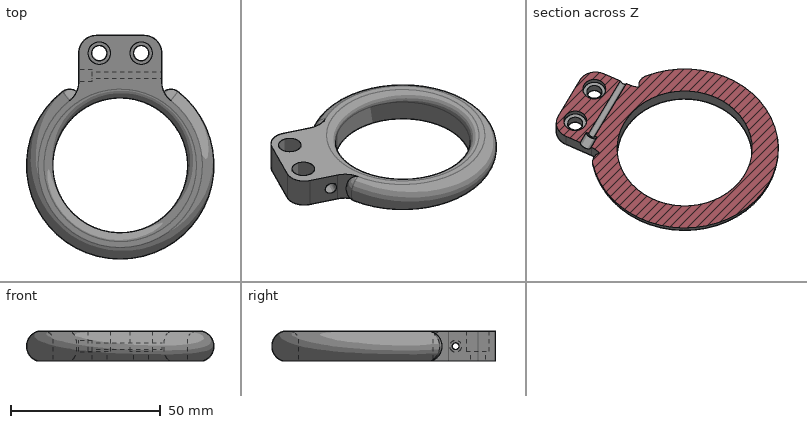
import cadquery as cq
import math

thickness = 10.0
bore_radius = 22.5
bore_rounding = 3.0
outer_radius = 31.4
flat_radius = 27.5
bulge = outer_radius - flat_radius
bulge_end_angle = 52.0

tab_width = 27.85
tab_half_width = tab_width / 2
overall_length = 74.9
tab_end = overall_length - outer_radius
tab_corner_radius = 6.0

bolt_spacing = 14.0
bolt_edge_distance = 6.0
bolt_y = tab_end - bolt_edge_distance
bolt_diameter = 5.0
bolt_head_diameter = 7.5
bolt_head_depth = 6.75

pin_y = 30.1
pin_diameter = 2.2
pin_head_diameter = 4.0
pin_head_depth = 4.5

touch_angle = math.radians(bulge_end_angle)
touch_x = flat_radius * math.cos(touch_angle)
touch_y = flat_radius * math.sin(touch_angle)
tab_root_radius = (touch_x - tab_half_width) / (1 - math.cos(touch_angle))
root_center_x = tab_half_width + tab_root_radius
root_center_y = (flat_radius + tab_root_radius) * math.sin(touch_angle)


def root_arc_middle():
    """Point halfway along the concave arc at the right side of the tab."""
    middle_angle = math.pi + touch_angle / 2
    return (
        root_center_x + tab_root_radius * math.cos(middle_angle),
        root_center_y + tab_root_radius * math.sin(middle_angle),
    )


def make_tab():
    middle_x, middle_y = root_arc_middle()
    tab = (
        cq.Workplane("XY")
        .moveTo(touch_x, touch_y)
        .threePointArc((middle_x, middle_y), (tab_half_width, root_center_y))
        .lineTo(tab_half_width, tab_end)
        .lineTo(-tab_half_width, tab_end)
        .lineTo(-tab_half_width, root_center_y)
        .threePointArc((-middle_x, middle_y), (-touch_x, touch_y))
        .lineTo(0, 0)
        .close()
        .extrude(thickness)
    )
    return tab.edges("|Z").edges(">Y").fillet(tab_corner_radius)


def make_bulged_ring():
    """Ring whose outer rounding is open at the tab and has rounded ends."""
    swept_section = (
        cq.Workplane("XZ")
        .lineTo(flat_radius, 0)
        .threePointArc((outer_radius, thickness / 2), (flat_radius, thickness))
        .lineTo(0, thickness)
        .close()
    )
    sweep_angle = 180 + 2 * bulge_end_angle
    ring = (
        swept_section.revolve(sweep_angle, (0, 0), (0, -1))
        .rotate((0, 0, 0), (0, 0, 1), bulge_end_angle)
    )
    right_end = (
        cq.Workplane("XZ")
        .threePointArc((bulge, thickness / 2), (0, thickness))
        .close()
        .revolve(180, (0, 0), (0, 1))
        .translate((flat_radius, 0, 0))
        .rotate((0, 0, 0), (0, 0, 1), bulge_end_angle)
    )
    left_end = right_end.mirror("YZ")
    return ring.union(right_end).union(left_end)


def make_bore():
    """Bore that flares through a quarter round at the top face."""
    rounding_start = thickness - bore_rounding
    diagonal = bore_rounding * math.sqrt(0.5)
    flare_middle = (
        bore_radius + bore_rounding - diagonal,
        rounding_start + diagonal,
    )
    return (
        cq.Workplane("XZ")
        .lineTo(bore_radius, 0)
        .lineTo(bore_radius, rounding_start)
        .threePointArc(flare_middle, (bore_radius + bore_rounding, thickness))
        .lineTo(0, thickness)
        .close()
        .revolve(360, (0, 0), (0, 1))
    )


def cut_bolt_holes(body):
    return (
        body.copyWorkplane(cq.Workplane("XY", origin=(0, bolt_y, thickness)))
        .pushPoints([(-bolt_spacing / 2, 0), (bolt_spacing / 2, 0)])
        .cboreHole(bolt_diameter, bolt_head_diameter, bolt_head_depth)
    )


def cut_pin_hole(body):
    side = cq.Workplane("YZ", origin=(-tab_half_width, pin_y, thickness / 2))
    passage = side.circle(pin_diameter / 2).extrude(tab_width)
    head = side.circle(pin_head_diameter / 2).extrude(pin_head_depth)
    return body.cut(passage).cut(head)


body = make_bulged_ring().union(make_tab()).cut(make_bore())
body = cut_bolt_holes(body)
result = cut_pin_hole(body)